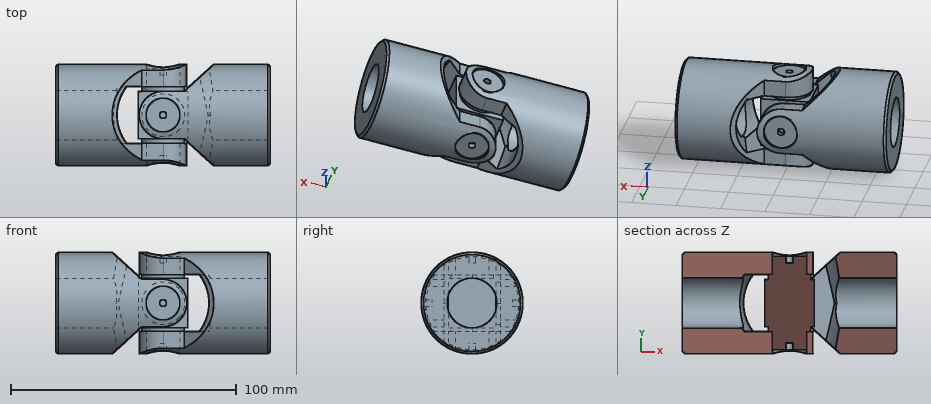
import cadquery as cq


joint_length = 95.0
body_diameter = 45.0
bore_diameter = 22.0
end_chamfer = 1.0
arm_width = 21.0
arm_inner_offset = 12.5
arm_straight_end = 9.3
cavity_center = 2.4
cavity_mid_radius = 21.6
cavity_edge_radius = 17.6
pin_diameter = 15.0
pin_length = 41.5
collar_diameter = 19.0
center_hole_diameter = 3.0
center_hole_depth = 3.0
block_length = 22.0
block_width = 21.0
block_height = 22.0

half_length = joint_length / 2
body_radius = body_diameter / 2
arm_radius = arm_width / 2
cavity_height = 2 * arm_inner_offset
beyond_body = 2 * body_diameter


def arm_outline():
    """Plan outline of the yoke: round arm tip, straight flanks, sloped shoulders."""
    return (
        cq.Workplane("XY")
        .moveTo(0, arm_radius)
        .threePointArc((-arm_radius, 0), (0, -arm_radius))
        .lineTo(arm_straight_end, -arm_radius)
        .lineTo(body_radius, -body_radius)
        .lineTo(half_length, -body_radius)
        .lineTo(half_length, body_radius)
        .lineTo(body_radius, body_radius)
        .lineTo(arm_straight_end, arm_radius)
        .close()
        .extrude(body_radius, both=True)
    )


def arm_gap():
    """Space between the two arms: a double cone about a Y-parallel axis, cut flat above and below."""
    rounded_space = (
        cq.Workplane("XY", origin=(cavity_center, 0, 0))
        .polyline([
            (0, -body_radius),
            (cavity_edge_radius, -body_radius),
            (cavity_mid_radius, 0),
            (cavity_edge_radius, body_radius),
            (0, body_radius),
        ])
        .close()
        .revolve(360, (0, 0), (0, 1))
    )
    height_limit = cq.Workplane("XY").box(beyond_body, beyond_body, cavity_height)
    return rounded_space.intersect(height_limit)


def make_yoke():
    """Yoke with its hub toward +X and its two arms above and below the X axis."""
    barrel = (
        cq.Workplane("YZ", origin=(-arm_radius, 0, 0))
        .circle(body_radius)
        .extrude(half_length + arm_radius)
        .faces(">X")
        .chamfer(end_chamfer)
    )
    bore = cq.Workplane("YZ").circle(bore_diameter / 2).extrude(half_length)
    pin_holes = cq.Workplane("XY").circle(pin_diameter / 2).extrude(body_radius, both=True)
    return barrel.intersect(arm_outline()).cut(arm_gap()).cut(bore).cut(pin_holes)


def add_pin(cross, plane):
    """Add one stepped pin through the block, with a small center hole in each end."""
    collar = cq.Workplane(plane).circle(collar_diameter / 2).extrude(arm_inner_offset, both=True)
    pin = cq.Workplane(plane).circle(pin_diameter / 2).extrude(pin_length / 2, both=True)
    cross = cross.union(collar).union(pin)
    for side in (-1, 1):
        hole = (
            cq.Workplane(plane)
            .workplane(offset=side * pin_length / 2)
            .circle(center_hole_diameter / 2)
            .extrude(-side * center_hole_depth)
        )
        cross = cross.cut(hole)
    return cross


def make_cross():
    """Central block with one pin along Y and one along Z."""
    cross = cq.Workplane("XY").box(block_length, block_width, block_height)
    for plane in ("XZ", "XY"):
        cross = add_pin(cross, plane)
    return cross


right_yoke = make_yoke()
left_yoke = (
    make_yoke()
    .rotate((0, 0, 0), (0, 0, 1), 180)
    .rotate((0, 0, 0), (1, 0, 0), 90)
)
cross = make_cross()

result = cq.Compound.makeCompound([left_yoke.val(), right_yoke.val(), cross.val()])